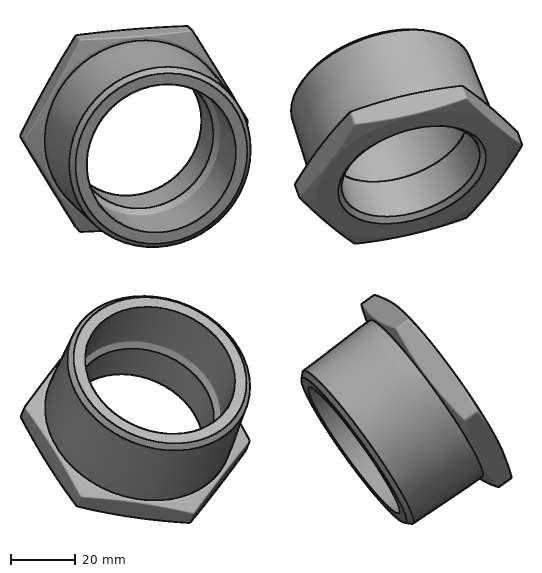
import cadquery as cq
import math

across_flats = 63.0
across_corners = 72.4
flange_thickness = 8.1
flange_face_diameter = 61.9
flange_bevel_angle = 15.0
flange_edge_radius = 0.5
flange_face_radius = 0.7
sharp_corners = across_flats / math.cos(math.radians(30))
corner_radius = (sharp_corners - across_corners) / (sharp_corners / across_flats - 1) / 2

total_length = 36.0
neck_diameter = 60.1
neck_end = 12.6
taper_ratio = 1 / 16
spigot_chamfer = 1.6

bore_diameter = 44.8
rear_bore_diameter = 48.25
entry_diameter = 48.0
entry_chamfer = (entry_diameter - bore_diameter) / 2
bore_step_start = 15.65
bore_step_length = (rear_bore_diameter - bore_diameter) / 2
bore_step_blend = 0.5


def revolve_about_x(points):
    """Close a profile of (x, radius) points and revolve it about the part axis."""
    return cq.Workplane("XY").polyline(points).close().revolve(360, (0, 0, 0), (1, 0, 0))


def make_flange():
    """Hexagon with rounded corners, bevelled on both faces, with soft edges."""
    hexagon = (
        cq.Workplane("YZ")
        .polygon(6, sharp_corners)
        .extrude(flange_thickness)
        .edges("|X")
        .fillet(corner_radius)
    )
    face_radius = flange_face_diameter / 2
    rim_radius = sharp_corners / 2
    bevel_depth = (rim_radius - face_radius) * math.tan(math.radians(flange_bevel_angle))
    bevel_envelope = revolve_about_x([
        (0, 0),
        (0, face_radius),
        (bevel_depth, rim_radius),
        (flange_thickness - bevel_depth, rim_radius),
        (flange_thickness, face_radius),
        (flange_thickness, 0),
    ])
    bevelled = hexagon.intersect(bevel_envelope)
    softened = bevelled.edges("%CIRCLE and (<X or >X)").fillet(flange_face_radius)
    return softened.edges("not(%CIRCLE or |X)").fillet(flange_edge_radius)


def make_spigot():
    neck_radius = neck_diameter / 2
    taper_end = total_length - spigot_chamfer
    taper_end_radius = neck_radius - (taper_end - neck_end) * taper_ratio / 2
    return revolve_about_x([
        (flange_thickness / 2, 0),
        (flange_thickness / 2, neck_radius),
        (neck_end, neck_radius),
        (taper_end, taper_end_radius),
        (total_length, taper_end_radius - spigot_chamfer),
        (total_length, 0),
    ])


def make_bore():
    bore_radius = bore_diameter / 2
    rear_radius = rear_bore_diameter / 2
    step_end = bore_step_start + bore_step_length
    bore = revolve_about_x([
        (0, 0),
        (0, entry_diameter / 2),
        (entry_chamfer, bore_radius),
        (bore_step_start, bore_radius),
        (step_end, rear_radius),
        (total_length, rear_radius),
        (total_length, 0),
    ])
    margin = bore_step_length / 4
    step_end_circle = cq.selectors.BoxSelector(
        (step_end - margin, -margin, -margin),
        (step_end + margin, margin, margin),
    )
    return bore.edges(step_end_circle).fillet(bore_step_blend)


result = make_flange().union(make_spigot()).cut(make_bore())